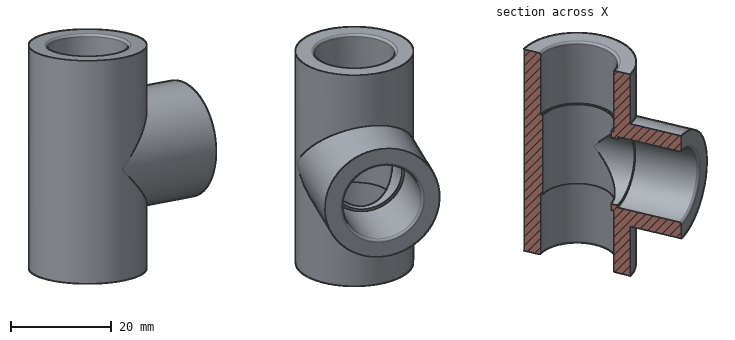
import cadquery as cq

outer_diameter = 23.5
socket_diameter = 16.0
bore_diameter = 15.0
center_to_end = 23.0
socket_depth = 14.0
mouth_radius = 0.5

UP = cq.Vector(0, 0, 1)
DOWN = cq.Vector(0, 0, -1)
BRANCH = cq.Vector(0, 1, 0)
ARM_DIRECTIONS = (UP, DOWN, BRANCH)


def arm_cylinder(direction, diameter, start_distance=0.0):
    """Cylinder along one arm, from start_distance off the tee center to the arm's end."""
    start = direction * start_distance
    length = center_to_end - start_distance
    return cq.Workplane(obj=cq.Solid.makeCylinder(diameter / 2, length, start, direction))


def build_outside():
    """Solid run with the solid branch joined to it."""
    run = cq.Workplane("XY").circle(outer_diameter / 2).extrude(center_to_end, both=True)
    return run.union(arm_cylinder(BRANCH, outer_diameter))


def cut_arm(body, direction):
    """Bore one arm and open its pipe socket, leaving a step as the pipe stop."""
    bore = arm_cylinder(direction, bore_diameter)
    socket = arm_cylinder(direction, socket_diameter, center_to_end - socket_depth)
    return body.cut(bore).cut(socket)


def round_socket_mouth(body, direction):
    """Round the inner edge where a socket meets its end face."""
    end_face = body.faces(cq.selectors.DirectionMinMaxSelector(direction))
    mouth_edge = end_face.edges(cq.selectors.RadiusNthSelector(0))
    return mouth_edge.fillet(mouth_radius)


tee = build_outside()
for arm_direction in ARM_DIRECTIONS:
    tee = cut_arm(tee, arm_direction)
for arm_direction in ARM_DIRECTIONS:
    tee = round_socket_mouth(tee, arm_direction)

result = tee